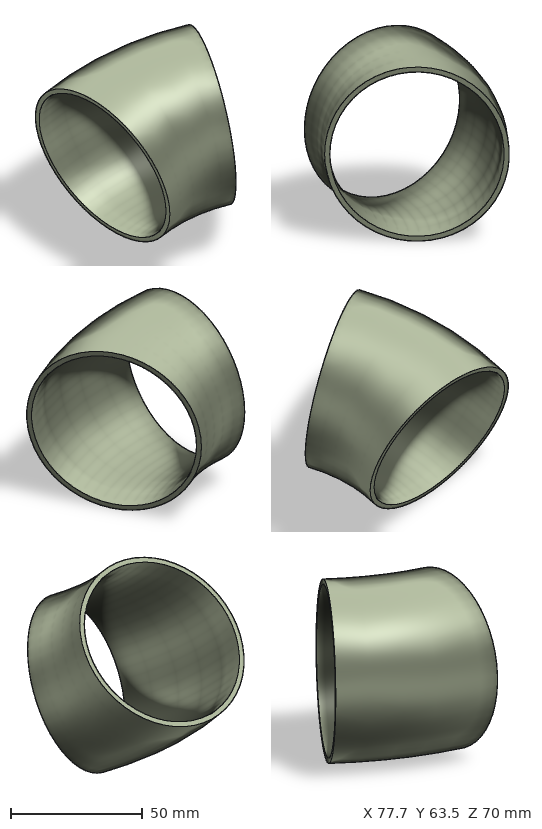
import cadquery as cq
import math

overall_width = 77.65
bend_angle = 30.0
bend_radius = 92.0
wall_thickness = 2.0

bend_cosine = math.cos(math.radians(bend_angle))
outer_radius = (overall_width - bend_radius * (1 - bend_cosine)) / (1 + bend_cosine)
inner_radius = outer_radius - wall_thickness

end_ring = cq.Workplane("XZ").circle(outer_radius).circle(inner_radius)

axis_start = (bend_radius, 0)
axis_end = (bend_radius, -1)
result = end_ring.revolve(bend_angle, axis_start, axis_end)